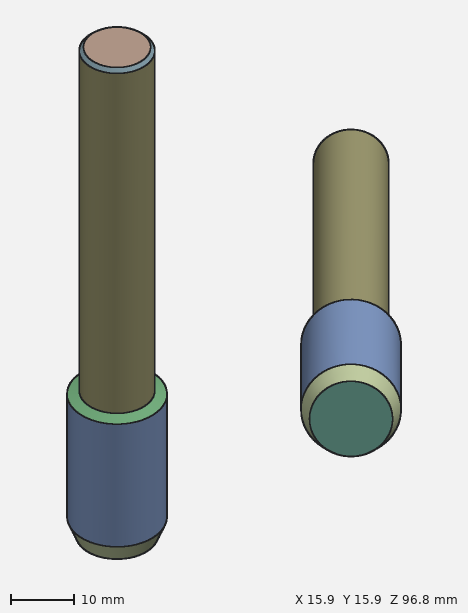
import cadquery as cq

total_length = 96.8
shaft_diameter = 12.0
head_diameter = 15.9

shaft_chamfer = 0.7

head_length = 28.6
shoulder_height = 0.7
nose_height = 3.5
nose_end_diameter = 13.2

shaft_length = total_length - head_length
shaft_radius = shaft_diameter / 2
head_radius = head_diameter / 2
nose_end_radius = nose_end_diameter / 2


def make_shaft():
    """Round shaft standing on the head, with a chamfered top end."""
    shaft = cq.Workplane("XY", origin=(0, 0, head_length)).circle(shaft_radius).extrude(shaft_length)
    return shaft.faces(">Z").chamfer(shaft_chamfer)


def make_head():
    """Solid head: tapered nose below, shallow conical shoulder rising to the shaft seat."""
    return (
        cq.Workplane("XZ")
        .lineTo(nose_end_radius, 0)
        .lineTo(head_radius, nose_height)
        .lineTo(head_radius, head_length - shoulder_height)
        .lineTo(shaft_radius, head_length)
        .lineTo(0, head_length)
        .close()
        .revolve(360, (0, 0, 0), (0, 1, 0))
    )


shaft = make_shaft()
head = make_head()

result = cq.Compound.makeCompound([shaft.val(), head.val()])